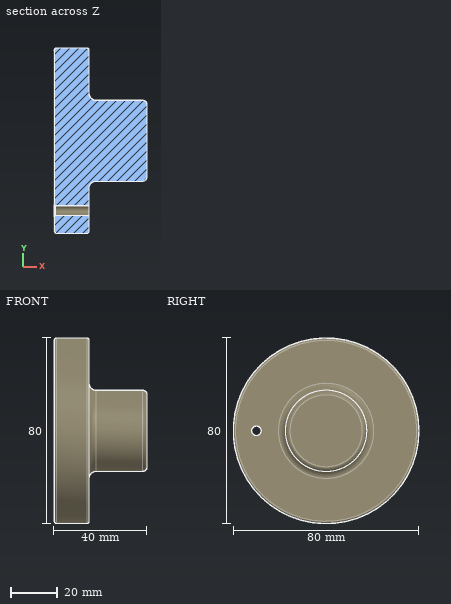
import cadquery as cq

disc_diameter = 80.0
disc_thickness = 15.0
disc_edge_radius = 1.0
hub_diameter = 35.0
total_length = 40.0
hub_root_radius = 3.0
hub_end_radius = 2.0
hole_diameter = 4.0
hole_offset = 30.0
hole_chamfer = 0.5


def cylinder(start_x, diameter, length):
    """Cylinder along +X, centred on the turning axis."""
    return cq.Workplane("YZ", origin=(start_x, 0, 0)).circle(diameter / 2).extrude(length)


disc = cylinder(0, disc_diameter, disc_thickness).edges().fillet(disc_edge_radius)

hub = cylinder(0, hub_diameter, total_length).faces(">X").edges().fillet(hub_end_radius)
disc_back = cq.selectors.NearestToPointSelector((disc_thickness, (disc_diameter + hub_diameter) / 4, 0))
root_edge = cq.selectors.RadiusNthSelector(0)
body = disc.union(hub)
body = body.faces(disc_back).edges(root_edge).fillet(hub_root_radius)

hole = cylinder(0, hole_diameter, disc_thickness)
countersink = (
    cq.Workplane("YZ")
    .circle(hole_diameter / 2 + hole_chamfer)
    .workplane(offset=hole_chamfer)
    .circle(hole_diameter / 2)
    .loft()
)
hole_cutter = hole.union(countersink).translate((0, -hole_offset, 0))

result = body.cut(hole_cutter)